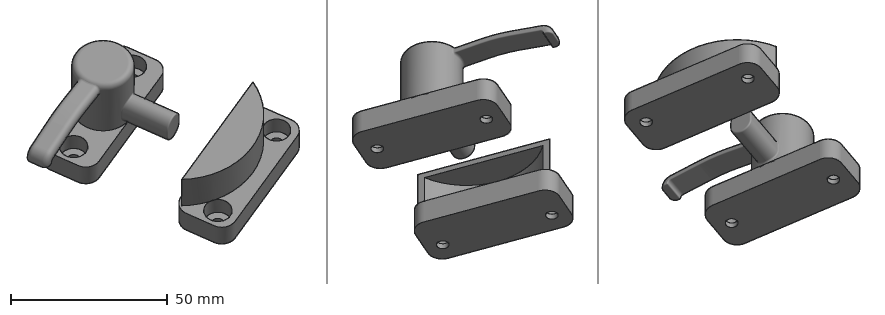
import cadquery as cq
import math

OVERALL_LENGTH_X = 70

PLATE_WIDTH = 20.0
PLATE_LENGTH = 50.0
PLATE_HEIGHT = 8.55
PLATE_CORNER_RADIUS = 5.0
PLATE_SPACING = OVERALL_LENGTH_X - PLATE_WIDTH

SCREW_DIAMETER = 4.0
COUNTERBORE_DIAMETER = 9.0
COUNTERBORE_FLOOR = 2.0
SCREW_END_DISTANCE = 6.0
SCREW_Y = PLATE_LENGTH / 2 - SCREW_END_DISTANCE
KEEPER_SCREW_SHIFT = 3.0

KNOB_DIAMETER = PLATE_WIDTH
KNOB_TOP_Z = 31.0
KNOB_RIM_RADIUS = 2.0

TONGUE_REACH = 26.0
TONGUE_WIDTH = 7.85
TONGUE_HEIGHT = 10.0
TONGUE_CENTER_Z = 14.1
TONGUE_END_RADIUS = 0.5

HANDLE_WIDTH = 8.1
HANDLE_THICKNESS = 3.0
HANDLE_TOP_RADIUS = 2.0
HANDLE_BOTTOM_RADIUS = 0.35
HANDLE_RISE_ANGLE = math.radians(5.4)
HANDLE_FALL_ANGLE = math.radians(6.4)
HANDLE_TOP_Z = 31.4
HANDLE_CREST_Y = -23.1
HANDLE_CREST_RADIUS = 53.9
HANDLE_TIP_Y = -43.3
HANDLE_TIP_RADIUS = 4.2
HANDLE_TIP_STRAIGHT = 0.3

TONGUE_ROOT_RADIUS = 0.5
HANDLE_ROOT_RADIUS = 0.8

ROOT_ZONE_DEPTH = 2.8
ROOT_MARGIN = 0.3
HANDLE_ROOT_SPAN = 3 * HANDLE_THICKNESS

HOOD_TOP_Z = 22.0
HOOD_LENGTH = 46.0
HOOD_DEPTH = 13.0
HOOD_WALL = 2.0
HOOD_ROOF = 2.0
HOOD_SETBACK = 2.0


def mounting_plate(center_x, screw_x):
    """Round-cornered plate with a counterbored screw hole near each end."""
    return (
        cq.Workplane("XY")
        .center(center_x, 0)
        .rect(PLATE_WIDTH, PLATE_LENGTH)
        .extrude(PLATE_HEIGHT)
        .edges("|Z")
        .fillet(PLATE_CORNER_RADIUS)
        .faces(">Z")
        .workplane(origin=(screw_x, 0, PLATE_HEIGHT))
        .pushPoints([(0, -SCREW_Y), (0, SCREW_Y)])
        .cboreHole(SCREW_DIAMETER, COUNTERBORE_DIAMETER, PLATE_HEIGHT - COUNTERBORE_FLOOR)
    )


def knob_cylinder():
    """Cylinder standing on the latch base, with a rounded top rim."""
    return (
        cq.Workplane("XY", origin=(0, 0, PLATE_HEIGHT))
        .circle(KNOB_DIAMETER / 2)
        .extrude(KNOB_TOP_Z - PLATE_HEIGHT)
        .faces(">Z")
        .edges()
        .fillet(KNOB_RIM_RADIUS)
    )


def tongue():
    """Upright round-ended bar from the knob axis towards the keeper."""
    return (
        cq.Workplane("YZ", origin=(0, 0, TONGUE_CENTER_Z))
        .slot2D(TONGUE_HEIGHT, TONGUE_WIDTH, 90)
        .extrude(TONGUE_REACH)
        .faces(">X")
        .edges()
        .fillet(TONGUE_END_RADIUS)
    )


def on_arc(center, radius, angle):
    """Point (y, z) on an arc; the angle leans from +Z towards -Y."""
    return (center[0] - radius * math.sin(angle), center[1] + radius * math.cos(angle))


def handle():
    """Bent strip of constant thickness, rounded along its edges."""
    crest = (HANDLE_CREST_Y, HANDLE_TOP_Z - HANDLE_CREST_RADIUS)
    crest_end = on_arc(crest, HANDLE_CREST_RADIUS, HANDLE_FALL_ANGLE)

    tip_y = HANDLE_TIP_Y + HANDLE_TIP_RADIUS
    tip_start_y = tip_y - HANDLE_TIP_RADIUS * math.sin(HANDLE_FALL_ANGLE)
    tip_start_z = crest_end[1] - (crest_end[0] - tip_start_y) * math.tan(HANDLE_FALL_ANGLE)
    tip = (tip_y, tip_start_z - HANDLE_TIP_RADIUS * math.cos(HANDLE_FALL_ANGLE))
    tip_middle_angle = (HANDLE_FALL_ANGLE + math.pi / 2) / 2

    def skin(inset):
        """Knob axis, crest arc and tip arc points at a given depth below the upper surface."""
        crest_radius = HANDLE_CREST_RADIUS - inset
        tip_radius = HANDLE_TIP_RADIUS - inset
        crest_start = on_arc(crest, crest_radius, -HANDLE_RISE_ANGLE)
        root = (0, crest_start[1] + crest_start[0] * math.tan(HANDLE_RISE_ANGLE))
        return (
            root,
            crest_start,
            on_arc(crest, crest_radius, 0),
            on_arc(crest, crest_radius, HANDLE_FALL_ANGLE),
            on_arc(tip, tip_radius, HANDLE_FALL_ANGLE),
            on_arc(tip, tip_radius, tip_middle_angle),
            on_arc(tip, tip_radius, math.pi / 2),
        )

    upper = skin(0)
    lower = skin(HANDLE_THICKNESS)
    strip = (
        cq.Workplane("YZ")
        .moveTo(*upper[0])
        .lineTo(*upper[1])
        .threePointArc(upper[2], upper[3])
        .lineTo(*upper[4])
        .threePointArc(upper[5], upper[6])
        .line(0, -HANDLE_TIP_STRAIGHT)
        .line(HANDLE_THICKNESS, 0)
        .lineTo(*lower[6])
        .threePointArc(lower[5], lower[4])
        .lineTo(*lower[3])
        .threePointArc(lower[2], lower[1])
        .lineTo(*lower[0])
        .close()
        .extrude(HANDLE_WIDTH / 2, both=True)
    )

    def side_edges(points):
        """Selector for the long edges passing through the crest point of a skin."""
        y, z = points[2]
        near = HANDLE_THICKNESS / 4
        return cq.selectors.BoxSelector(
            (-HANDLE_WIDTH, y - near, z - near), (HANDLE_WIDTH, y + near, z + near)
        )

    strip = strip.edges(side_edges(upper)).fillet(HANDLE_TOP_RADIUS)
    strip = strip.edges(side_edges(lower)).fillet(HANDLE_BOTTOM_RADIUS)
    return strip.faces("<Z").edges().fillet(HANDLE_BOTTOM_RADIUS)


def root_edges(direction, zone_size, zone_z):
    """Selector for the edges lying wholly in a box around one root on the knob surface."""
    root_x = direction[0] * KNOB_DIAMETER / 2
    root_y = direction[1] * KNOB_DIAMETER / 2
    half_x, half_y, half_z = (size / 2 for size in zone_size)
    return cq.selectors.BoxSelector(
        (root_x - half_x, root_y - half_y, zone_z - half_z),
        (root_x + half_x, root_y + half_y, zone_z + half_z),
        boundingbox=True,
    )


def latch():
    """Knob, tongue and handle as one turning piece, blended at both roots."""
    tongue_zone = (ROOT_ZONE_DEPTH, TONGUE_WIDTH + ROOT_MARGIN, TONGUE_HEIGHT + ROOT_MARGIN)
    handle_zone = (HANDLE_WIDTH + ROOT_MARGIN, ROOT_ZONE_DEPTH, HANDLE_ROOT_SPAN)
    return (
        knob_cylinder()
        .union(tongue())
        .union(handle())
        .edges(root_edges((0, -1), handle_zone, KNOB_TOP_Z - KNOB_RIM_RADIUS))
        .fillet(HANDLE_ROOT_RADIUS)
        .edges(root_edges((1, 0), tongue_zone, TONGUE_CENTER_Z))
        .fillet(TONGUE_ROOT_RADIUS)
    )


def hood_segment(half_chord, rise, bottom, top):
    """Upright circular segment with its flat side on the open face of the hood."""
    face_x = PLATE_SPACING - PLATE_WIDTH / 2 + HOOD_SETBACK
    return (
        cq.Workplane("XY", origin=(face_x, 0, bottom))
        .moveTo(0, -half_chord)
        .threePointArc((rise, 0), (0, half_chord))
        .close()
        .extrude(top - bottom)
    )


def keeper():
    """Plate carrying a hollow hood that is open towards the latch."""
    half_chord = HOOD_LENGTH / 2
    radius = (half_chord**2 + HOOD_DEPTH**2) / (2 * HOOD_DEPTH)
    inner_half_chord = math.sqrt((radius - HOOD_WALL) ** 2 - (radius - HOOD_DEPTH) ** 2)
    hood = hood_segment(half_chord, HOOD_DEPTH, PLATE_HEIGHT, HOOD_TOP_Z)
    pocket = hood_segment(inner_half_chord, HOOD_DEPTH - HOOD_WALL, PLATE_HEIGHT, HOOD_TOP_Z - HOOD_ROOF)
    plate = mounting_plate(PLATE_SPACING, PLATE_SPACING + KEEPER_SCREW_SHIFT)
    return plate.union(hood.cut(pocket))


latch_base = mounting_plate(0, 0)
turning_latch = latch()
hooded_keeper = keeper()

result = cq.Compound.makeCompound([latch_base.val(), turning_latch.val(), hooded_keeper.val()])